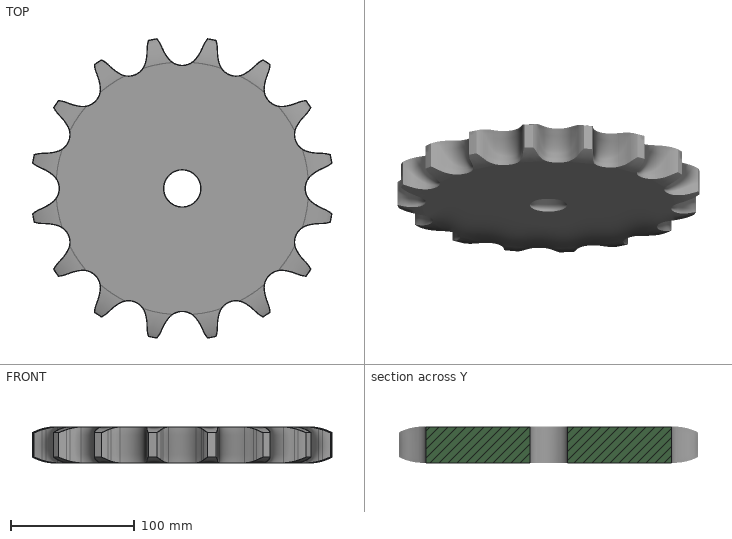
import cadquery as cq
import math


TEETH = 16
CHAIN_PITCH = 44.45
ROLLER_DIAMETER = 27.94
THICKNESS = 29.4
TIP_DIAMETER = 246.3
BORE_DIAMETER = 30.0

FACE_RADIUS = 102.5
TIP_WIDTH = 19.8

GAP_ANGLE = 360 / TEETH
HALF_GAP = math.radians(GAP_ANGLE / 2)
PITCH_RADIUS = CHAIN_PITCH / (2 * math.sin(HALF_GAP))
TIP_RADIUS = TIP_DIAMETER / 2

SEATING_CLEARANCE = 0.0381
SEATING_RADIUS = 0.5025 * ROLLER_DIAMETER + SEATING_CLEARANCE
WORKING_RADIUS = 1.3025 * ROLLER_DIAMETER + SEATING_CLEARANCE
WORKING_CENTER_DISTANCE = 0.8 * ROLLER_DIAMETER
TOPPING_CENTER_DISTANCE = 1.4 * ROLLER_DIAMETER
SEATING_END_ANGLE = math.radians(35 + 60 / TEETH)
WORKING_ARC_ANGLE = math.radians(18 - 56 / TEETH)
TOPPING_ANGLE = math.radians(17 - 64 / TEETH)
TOPPING_RADIUS = (
    WORKING_CENTER_DISTANCE * math.cos(WORKING_ARC_ANGLE)
    + TOPPING_CENTER_DISTANCE * math.cos(TOPPING_ANGLE)
    - WORKING_RADIUS
)


def polar(center, radius, angle):
    """Point at a radius and an angle (radians) from a center."""
    return (center[0] + radius * math.cos(angle), center[1] + radius * math.sin(angle))


def mirrored(point):
    """Point reflected across the center line of the tooth gap."""
    return (-point[0], point[1])


def tip_crossing_angle(center):
    """Angle about the topping center where the topping arc crosses the tip circle."""
    distance = math.hypot(*center)
    cosine = (TIP_RADIUS**2 - distance**2 - TOPPING_RADIUS**2) / (2 * distance * TOPPING_RADIUS)
    return math.atan2(center[1], center[0]) + math.acos(cosine)


def make_blank():
    """Disc with tooth sides rounded from the flat faces down to the tip width."""
    half_thickness = THICKNESS / 2
    half_tip = TIP_WIDTH / 2
    side_length = TIP_RADIUS - FACE_RADIUS
    side_drop = half_thickness - half_tip
    side_radius = (side_length**2 + side_drop**2) / (2 * side_drop)
    half_sweep = math.asin(side_length / side_radius) / 2
    mid_radius = FACE_RADIUS + side_radius * math.sin(half_sweep)
    mid_height = half_thickness - side_radius * (1 - math.cos(half_sweep))
    return (
        cq.Workplane("XZ")
        .moveTo(0, -half_thickness)
        .lineTo(FACE_RADIUS, -half_thickness)
        .threePointArc((mid_radius, -mid_height), (TIP_RADIUS, -half_tip))
        .lineTo(TIP_RADIUS, half_tip)
        .threePointArc((mid_radius, mid_height), (FACE_RADIUS, half_thickness))
        .lineTo(0, half_thickness)
        .close()
        .revolve(360, (0, 0), (0, 1))
    )


def make_gap_cutter():
    """Prism of one tooth gap, centered on the +Y axis and open beyond the tip circle."""
    roller_center = (0, PITCH_RADIUS)
    working_center = polar(roller_center, WORKING_CENTER_DISTANCE, math.pi - SEATING_END_ANGLE)
    topping_center = polar(roller_center, TOPPING_CENTER_DISTANCE, -HALF_GAP)

    seating_end = polar(roller_center, SEATING_RADIUS, -SEATING_END_ANGLE)
    working_mid = polar(working_center, WORKING_RADIUS, WORKING_ARC_ANGLE / 2 - SEATING_END_ANGLE)
    flank_angle = WORKING_ARC_ANGLE - SEATING_END_ANGLE
    working_end = polar(working_center, WORKING_RADIUS, flank_angle)
    topping_start_angle = flank_angle + math.pi
    topping_start = polar(topping_center, TOPPING_RADIUS, topping_start_angle)
    tip_angle = tip_crossing_angle(topping_center)
    tip = polar(topping_center, TOPPING_RADIUS, tip_angle)
    topping_mid = polar(topping_center, TOPPING_RADIUS, (topping_start_angle + tip_angle) / 2)

    outer_right = (tip[0], TIP_RADIUS + ROLLER_DIAMETER)
    return (
        cq.Workplane("XY")
        .workplane(offset=-THICKNESS)
        .moveTo(*mirrored(seating_end))
        .threePointArc((0, PITCH_RADIUS - SEATING_RADIUS), seating_end)
        .threePointArc(working_mid, working_end)
        .lineTo(*topping_start)
        .threePointArc(topping_mid, tip)
        .lineTo(*outer_right)
        .lineTo(*mirrored(outer_right))
        .lineTo(*mirrored(tip))
        .threePointArc(mirrored(topping_mid), mirrored(topping_start))
        .lineTo(*mirrored(working_end))
        .threePointArc(mirrored(working_mid), mirrored(seating_end))
        .close()
        .extrude(2 * THICKNESS)
    )


def cut_gaps(wheel):
    """Cut a tooth gap at every tooth pitch."""
    cutter = make_gap_cutter()
    for index in range(TEETH):
        wheel = wheel.cut(cutter.rotate((0, 0, 0), (0, 0, 1), index * GAP_ANGLE))
    return wheel


def cut_bore(wheel):
    """Cut the plain bore through the wheel."""
    bore = cq.Workplane("XY").circle(BORE_DIAMETER / 2).extrude(THICKNESS, both=True)
    return wheel.cut(bore)


result = cut_bore(cut_gaps(make_blank()))